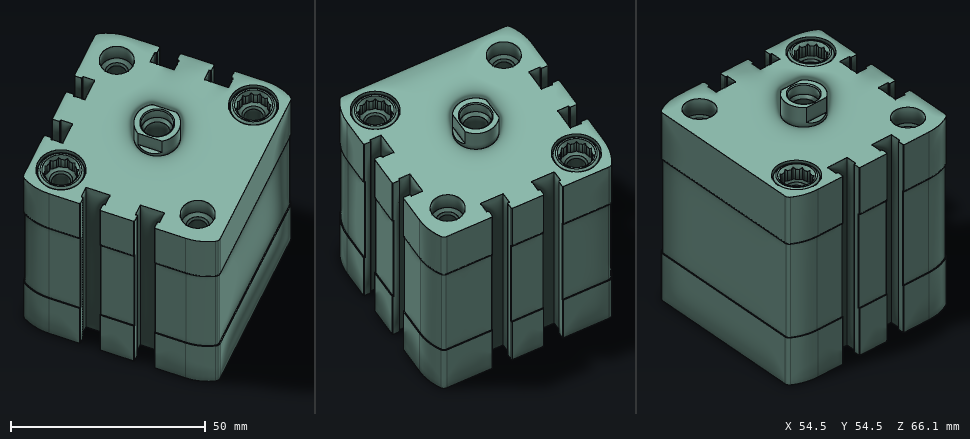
import cadquery as cq
import math

total_height = 66.1
side = 54.5
half_side = side / 2
rod_projection = 6.2
housing_height = total_height - rod_projection

cap_height = 15.0
barrel_height = housing_height - 2 * cap_height
barrel_inset = 0.3

hole_offset = 19.0
corner_arc_radius = 15.0
corner_round_radius = 1.5

slot_offset = 7.55
slot_mouth_width = 5.5
slot_inner_width = 6.7
slot_depth = 5.5
slot_lip = 2.25
slot_lip_round = 0.2

screw_hole_diameter = 4.9
screw_countersink_diameter = 6.0
plain_bore_diameter = 9.0
plain_bore_depth = 5.0

socket_groove_diameter = 12.8
socket_collar_diameter = 12.0
socket_groove_depth = 2.0
socket_crest_outer_diameter = 10.7
socket_crest_inner_diameter = 9.8
socket_crest_drop = 0.05
socket_lead_in_half_angle = 30
socket_point_diameter = 9.0
socket_tooth_diameter = 8.4
socket_depth = 4.5
socket_hexagon_turns = (0, 30)

rod_diameter = 12.0
rod_insertion = cap_height
rod_across_flats = 10.0
rod_flat_length = 4.75
rod_shoulder_slope = 30
rod_mouth_diameter = 9.0
rod_bore_diameter = 8.4
rod_bore_depth = 3.25
thread_diameter = 6.7
thread_depth = 12.0
drill_half_angle = 60


def outline(inset):
    """Housing outline, moved inward by inset on every side."""
    half = half_side - inset
    arc_radius = corner_arc_radius - inset
    round_radius = corner_round_radius - inset
    arc_center_y = half - arc_radius
    round_center_x = half - round_radius
    center_distance = arc_radius - round_radius
    turn = math.asin((round_center_x - hole_offset) / center_distance)
    round_center_y = arc_center_y + center_distance * math.cos(turn)
    join_x = hole_offset + arc_radius * math.sin(turn)
    join_y = arc_center_y + arc_radius * math.cos(turn)
    return (
        cq.Workplane("XY")
        .moveTo(-hole_offset, half)
        .lineTo(hole_offset, half)
        .radiusArc((join_x, join_y), arc_radius)
        .radiusArc((half, round_center_y), round_radius)
        .lineTo(half, -round_center_y)
        .radiusArc((join_x, -join_y), round_radius)
        .radiusArc((hole_offset, -half), arc_radius)
        .lineTo(-hole_offset, -half)
        .radiusArc((-join_x, -join_y), arc_radius)
        .radiusArc((-half, -round_center_y), round_radius)
        .lineTo(-half, round_center_y)
        .radiusArc((-join_x, join_y), round_radius)
        .radiusArc((-hole_offset, half), arc_radius)
        .close()
    )


def slot_cutter(inset, height, offset, turn):
    """T-slot with rounded lips, drawn in the -Y side and turned about Z."""
    face_y = inset - half_side
    lip_y = slot_lip - half_side
    floor_y = slot_depth - half_side
    mouth = slot_mouth_width / 2
    inner = slot_inner_width / 2
    lip_round = slot_lip_round
    return (
        cq.Workplane("XY")
        .moveTo(-mouth - lip_round, face_y)
        .radiusArc((-mouth, face_y + lip_round), lip_round)
        .lineTo(-mouth, lip_y - lip_round)
        .radiusArc((-mouth - lip_round, lip_y), lip_round)
        .lineTo(-inner, lip_y)
        .lineTo(-inner, floor_y)
        .lineTo(inner, floor_y)
        .lineTo(inner, lip_y)
        .lineTo(mouth + lip_round, lip_y)
        .radiusArc((mouth, lip_y - lip_round), lip_round)
        .lineTo(mouth, face_y + lip_round)
        .radiusArc((mouth + lip_round, face_y), lip_round)
        .close()
        .extrude(height)
        .translate((offset, 0, 0))
        .rotate((0, 0, 0), (0, 0, 1), turn)
    )


def make_band(base_z, height, inset):
    """One height range of the housing with its T-slots."""
    band = outline(inset).extrude(height)
    for turn in (0, 180, -90):
        for offset in (-slot_offset, slot_offset):
            band = band.cut(slot_cutter(inset, height, offset, turn))
    return band.translate((0, 0, base_z))


def disc(diameter, base_z, top_z):
    return cq.Workplane("XY").workplane(offset=base_z).circle(diameter / 2).extrude(top_z - base_z)


def cone(base_diameter, top_diameter, base_z, top_z):
    """Solid cone frustum on the Z axis."""
    return (
        cq.Workplane("XZ")
        .moveTo(0, base_z)
        .lineTo(base_diameter / 2, base_z)
        .lineTo(top_diameter / 2, top_z)
        .lineTo(0, top_z)
        .close()
        .revolve(360, (0, 0, 0), (0, 1, 0))
    )


def screw_hole_cutter(countersink_z):
    """Hole through the whole housing with a 45 degree countersink at the given height."""
    countersink_depth = (screw_countersink_diameter - screw_hole_diameter) / 2
    countersink = cone(
        screw_hole_diameter, screw_countersink_diameter, countersink_z - countersink_depth, countersink_z
    )
    return disc(screw_hole_diameter, 0, countersink_z).union(countersink)


def plain_corner_cutter():
    floor_z = housing_height - plain_bore_depth
    return disc(plain_bore_diameter, floor_z, housing_height).union(screw_hole_cutter(floor_z))


def socket_groove_cutter():
    """Ring recess that leaves a collar just below the top, its outer edge bevelled at 45 degrees."""
    bottom_z = housing_height - socket_groove_depth
    bevel_height = (socket_collar_diameter - socket_crest_outer_diameter) / 2
    crest_z = housing_height - socket_crest_drop
    bevel_z = crest_z - bevel_height
    collar = disc(socket_collar_diameter, bottom_z, bevel_z).union(
        cone(socket_collar_diameter, socket_crest_outer_diameter, bevel_z, crest_z)
    )
    return disc(socket_groove_diameter, bottom_z, housing_height).cut(collar)


def socket_corner_cutter():
    """Twelve-point socket with blunted teeth and a conical lead-in."""
    floor_z = housing_height - socket_depth
    crest_z = housing_height - socket_crest_drop
    cutter = disc(socket_tooth_diameter, floor_z, housing_height)
    for turn in socket_hexagon_turns:
        hexagon = cq.Workplane("XY").polygon(6, socket_point_diameter).extrude(socket_depth)
        cutter = cutter.union(hexagon.rotate((0, 0, 0), (0, 0, 1), turn).translate((0, 0, floor_z)))
    lead_in_width = (socket_crest_inner_diameter - socket_tooth_diameter) / 2
    lead_in_depth = lead_in_width / math.tan(math.radians(socket_lead_in_half_angle))
    lead_in = cone(socket_tooth_diameter, socket_crest_inner_diameter, crest_z - lead_in_depth, crest_z)
    return cutter.union(lead_in).union(socket_groove_cutter()).union(screw_hole_cutter(floor_z))


def make_housing():
    body = make_band(0, cap_height, 0)
    body = body.union(make_band(cap_height, barrel_height, barrel_inset))
    body = body.union(make_band(housing_height - cap_height, cap_height, 0))
    for sign in (-1, 1):
        place = sign * hole_offset
        body = body.cut(socket_corner_cutter().translate((place, place, 0)))
        body = body.cut(plain_corner_cutter().translate((place, -place, 0)))
    return body.cut(disc(rod_diameter, housing_height - rod_insertion, housing_height))


def rod_flat_cutter():
    """Removes the -Y side of the rod end down to a flat with a sloping shoulder."""
    flat_y = -rod_across_flats / 2
    outer_y = -rod_diameter
    shoulder_z = total_height - rod_flat_length
    outer_z = shoulder_z - (flat_y - outer_y) * math.tan(math.radians(rod_shoulder_slope))
    return (
        cq.Workplane("YZ")
        .moveTo(flat_y, total_height)
        .lineTo(flat_y, shoulder_z)
        .lineTo(outer_y, outer_z)
        .lineTo(outer_y, total_height)
        .close()
        .extrude(rod_diameter, both=True)
    )


def rod_bore_cutter():
    """Thread hole with a drilled end, a wider relief bore and 45 degree bevels at its step and mouth."""
    drill_slope = math.tan(math.radians(drill_half_angle))
    mouth_radius = rod_mouth_diameter / 2
    bore_radius = rod_bore_diameter / 2
    thread_radius = thread_diameter / 2
    mouth_z = total_height - (mouth_radius - bore_radius)
    bore_z = total_height - rod_bore_depth
    step_z = bore_z - (bore_radius - thread_radius)
    thread_end_z = total_height - thread_depth
    tip_z = thread_end_z - thread_radius / drill_slope
    return (
        cq.Workplane("XZ")
        .moveTo(0, tip_z)
        .lineTo(thread_radius, thread_end_z)
        .lineTo(thread_radius, step_z)
        .lineTo(bore_radius, bore_z)
        .lineTo(bore_radius, mouth_z)
        .lineTo(mouth_radius, total_height)
        .lineTo(0, total_height)
        .close()
        .revolve(360, (0, 0, 0), (0, 1, 0))
    )


def make_piston_rod():
    rod = disc(rod_diameter, housing_height - rod_insertion, total_height)
    flat = rod_flat_cutter()
    rod = rod.cut(flat).cut(flat.rotate((0, 0, 0), (0, 0, 1), 180))
    return rod.cut(rod_bore_cutter())


housing = make_housing()
piston_rod = make_piston_rod()

result = cq.Compound.makeCompound([housing.val(), piston_rod.val()])